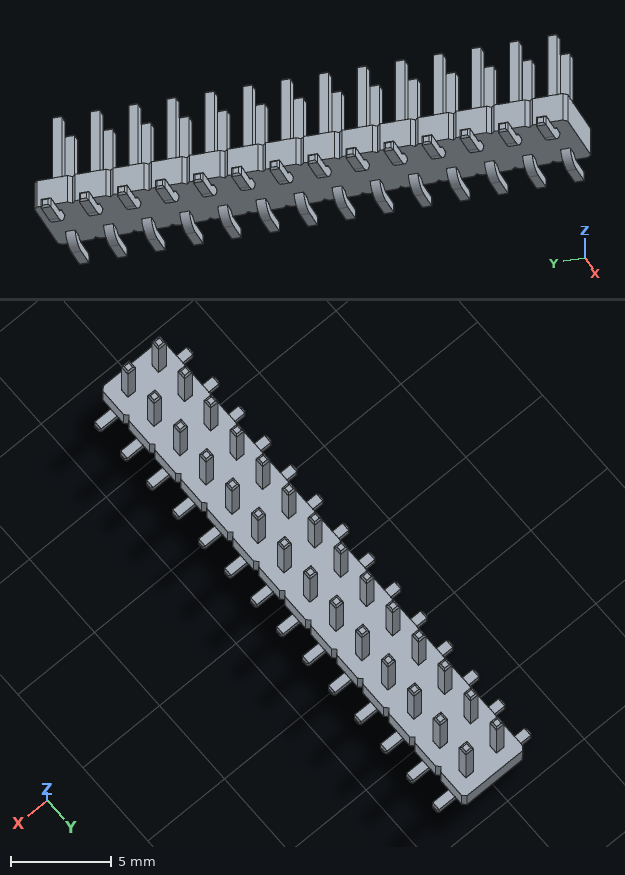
import cadquery as cq


body_length = 28.0
pin_rows = 14
pitch = body_length / pin_rows
body_width = 2 * pitch
body_height = 1.5
body_bottom = 0.7
corner_chamfer = 0.2

pin_size = 0.5
pin_tip_chamfer = 0.1
pin_top = 6.2
foot_span = 6.2
bend_inner_radius = 0.5
bend_outer_radius = bend_inner_radius + pin_size


def make_body_cell():
    """One pitch of the body; the corner chamfers form notches between cells."""
    return (
        cq.Workplane("XY")
        .box(body_width, pitch, body_height, centered=(True, True, False))
        .edges("|Z")
        .chamfer(corner_chamfer)
        .translate((0, 0, body_bottom))
    )


def make_pin():
    """Right-hand pin: upright post, quarter bend and foot pointing to +X."""
    post_inner_x = pitch / 2 - pin_size / 2
    post_outer_x = post_inner_x + pin_size
    bend_end_x = post_inner_x + bend_outer_radius
    foot_tip_x = foot_span / 2
    pin = (
        cq.Workplane("XZ")
        .moveTo(post_inner_x, pin_top)
        .lineTo(post_inner_x, bend_outer_radius)
        .radiusArc((bend_end_x, 0), -bend_outer_radius)
        .lineTo(foot_tip_x, 0)
        .lineTo(foot_tip_x, pin_size)
        .lineTo(bend_end_x, pin_size)
        .radiusArc((post_outer_x, bend_outer_radius), bend_inner_radius)
        .lineTo(post_outer_x, pin_top)
        .close()
        .extrude(pin_size / 2, both=True)
    )
    pin = pin.faces(">Z").chamfer(pin_tip_chamfer)
    return pin.faces(">X").chamfer(pin_tip_chamfer)


body_cell = make_body_cell()
right_pin = make_pin()
left_pin = right_pin.mirror("YZ")
header_row = body_cell.union(right_pin).union(left_pin)

result = header_row
for row in range(1, pin_rows):
    result = result.union(header_row.translate((0, row * pitch, 0)))

first_row_y = pitch / 2 - body_length / 2
result = result.translate((0, first_row_y, 0)).clean()